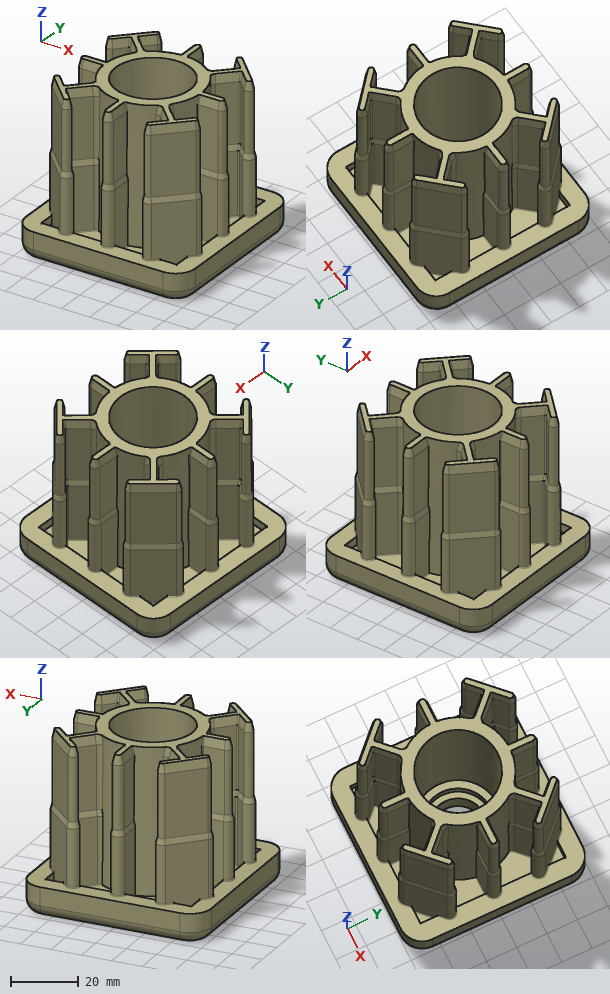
import cadquery as cq
import math

flange_side = 60.0
flange_thickness = 10.0
flange_corner_radius = 7.0
flange_bottom_radius = 4.0
recess_side = 48.0
recess_depth = 3.0
recess_floor = flange_thickness - recess_depth

total_height = 55.0
tube_top_radius = 17.05
tube_base_radius = 17.3
bore_radius = 13.1
counterbore_radius = 10.5
hole_radius = 8.4

foot_top = 29.1
bevel_height = 2.0
tip_height = 3.0
rib_stations = (
    recess_floor,
    foot_top,
    foot_top + bevel_height,
    total_height - tip_height,
    total_height,
)

straight_rib_halves = (2.2, 1.75, 1.0)
stem_halves = (2.3, 1.7, 0.95)
bar_halves = (2.1, 1.55, 0.9)

rib_inner_end = 15.0
straight_rib_cap_center = 24.2
bar_distance = 27.7
bar_cap_offset = 6.85
bar_corner_radius = 0.5
straight_root_radius = 0.35
stem_root_radius = 1.9
base_fillet = 0.25
rib_reach_limit = 27.0
tolerance = 0.0005

cos_45 = math.sqrt(0.5)


def make_flange():
    plate = (
        cq.Workplane("XY")
        .rect(flange_side, flange_side)
        .extrude(flange_thickness)
        .edges("|Z").fillet(flange_corner_radius)
        .faces("<Z").edges().fillet(flange_bottom_radius)
    )
    recess = (
        cq.Workplane("XY", origin=(0, 0, recess_floor))
        .rect(recess_side, recess_side)
        .extrude(recess_depth)
    )
    return plate.cut(recess)


def make_tube():
    return (
        cq.Workplane("XY", origin=(0, 0, recess_floor))
        .circle(tube_base_radius)
        .workplane(offset=total_height - recess_floor)
        .circle(tube_top_radius)
        .loft()
    )


def root_flare(half, radius):
    """Start, middle and end of the arc blending the tube into a rib's +Y flank."""
    start_y = half + radius
    start_x = math.sqrt(tube_top_radius ** 2 - start_y ** 2)
    bulge = radius * (1 - cos_45)
    return (start_x, start_y), (start_x + bulge, half + bulge), (start_x + radius, half)


def mirrored(point):
    """Point reflected across the rib's middle plane."""
    return (point[0], -point[1])


def straight_outline(half, z):
    """Radial rib along +X with flared root and round outer end."""
    flare_start, flare_middle, flare_end = root_flare(half, straight_root_radius)
    cap_tip = (straight_rib_cap_center + half, 0)
    return (
        cq.Workplane("XY", origin=(0, 0, z))
        .moveTo(rib_inner_end, -flare_start[1])
        .lineTo(*mirrored(flare_start))
        .threePointArc(mirrored(flare_middle), mirrored(flare_end))
        .lineTo(straight_rib_cap_center, -half)
        .threePointArc(cap_tip, (straight_rib_cap_center, half))
        .lineTo(*flare_end)
        .threePointArc(flare_middle, flare_start)
        .lineTo(rib_inner_end, flare_start[1])
        .close()
        .val()
    )


def tee_outline(stem_half, bar_half, z):
    """T rib along +X: a flared stem carrying a crossbar with round ends."""
    bar_inner = bar_distance - bar_half
    bar_outer = bar_distance + bar_half
    flare_start, flare_middle, flare_end = root_flare(stem_half, stem_root_radius)
    bulge = bar_corner_radius * (1 - cos_45)
    corner_start = (bar_inner - bar_corner_radius, stem_half)
    corner_middle = (bar_inner - bulge, stem_half + bulge)
    corner_end = (bar_inner, stem_half + bar_corner_radius)
    cap_tip = (bar_distance, bar_cap_offset + bar_half)
    return (
        cq.Workplane("XY", origin=(0, 0, z))
        .moveTo(rib_inner_end, -flare_start[1])
        .lineTo(*mirrored(flare_start))
        .threePointArc(mirrored(flare_middle), mirrored(flare_end))
        .lineTo(*mirrored(corner_start))
        .threePointArc(mirrored(corner_middle), mirrored(corner_end))
        .lineTo(bar_inner, -bar_cap_offset)
        .threePointArc(mirrored(cap_tip), (bar_outer, -bar_cap_offset))
        .lineTo(bar_outer, bar_cap_offset)
        .threePointArc(cap_tip, (bar_inner, bar_cap_offset))
        .lineTo(*corner_end)
        .threePointArc(corner_middle, corner_start)
        .lineTo(*flare_end)
        .threePointArc(flare_middle, flare_start)
        .lineTo(rib_inner_end, flare_start[1])
        .close()
        .val()
    )


def by_station(halves):
    """Half thickness at each rib station."""
    foot, upper, tip = halves
    return (foot, foot, upper, upper, tip)


def make_straight_rib():
    outlines = [
        straight_outline(half, z)
        for half, z in zip(by_station(straight_rib_halves), rib_stations)
    ]
    return cq.Workplane(cq.Solid.makeLoft(outlines, True))


def make_tee_rib():
    outlines = [
        tee_outline(stem, bar, z)
        for stem, bar, z in zip(by_station(stem_halves), by_station(bar_halves), rib_stations)
    ]
    return cq.Workplane(cq.Solid.makeLoft(outlines, True))


def is_rib_foot_edge(edge):
    """True where a rib meets the flange rim or the recess floor."""
    box = edge.BoundingBox()
    middle = edge.positionAt(0.5)
    reach = max(abs(middle.x), abs(middle.y))
    level = any(
        max(abs(box.zmin - z), abs(box.zmax - z)) < tolerance
        for z in (flange_thickness, recess_floor)
    )
    on_recess_wall = abs(reach - recess_side / 2) < tolerance
    return level and not on_recess_wall and reach < rib_reach_limit


body = make_flange()
axis_start, axis_end = (0, 0, 0), (0, 0, 1)
for quarter in range(4):
    angle = 90 * quarter
    body = body.union(make_straight_rib().rotate(axis_start, axis_end, angle))
    body = body.union(make_tee_rib().rotate(axis_start, axis_end, angle + 45))

foot_edges = [edge for edge in body.edges().vals() if is_rib_foot_edge(edge)]
body = body.newObject(foot_edges).fillet(base_fillet)
body = body.union(make_tube())

for radius, floor in (
    (bore_radius, flange_thickness),
    (counterbore_radius, recess_floor),
    (hole_radius, 0),
):
    cutter = cq.Workplane("XY", origin=(0, 0, floor)).circle(radius).extrude(total_height - floor)
    body = body.cut(cutter)

result = body